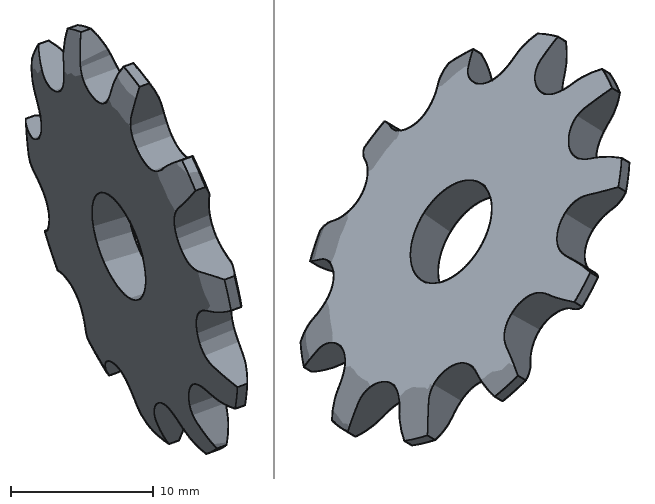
import cadquery as cq
import math

tooth_count = 11
chain_pitch = 8.0
seat_radius = 2.5
flank_radius = 7.8
tip_radius = 15.85
thickness = 2.8
face_radius = 11.95
rounding_radius = 8.0
bore_diameter = 8.0

tooth_angle = 2 * math.pi / tooth_count
half_angle = tooth_angle / 2
pitch_radius = chain_pitch / (2 * math.sin(half_angle))
root_radius = pitch_radius - seat_radius
half_thickness = thickness / 2

seat_end_x = pitch_radius * math.sin(half_angle) - seat_radius
seat_end_y = pitch_radius * math.cos(half_angle)
flank_center_x = seat_end_x - flank_radius

flank_center_distance = math.hypot(flank_center_x, seat_end_y)
flank_center_angle = math.atan2(seat_end_y, flank_center_x)
corner_cosine = (tip_radius**2 + flank_center_distance**2 - flank_radius**2) / (
    2 * tip_radius * flank_center_distance
)
corner_angle = flank_center_angle - math.acos(corner_cosine)
tip_x = tip_radius * math.cos(corner_angle)
tip_y = tip_radius * math.sin(corner_angle)

flank_sweep = math.atan2(tip_y - seat_end_y, tip_x - flank_center_x)
flank_mid_x = flank_center_x + flank_radius * math.cos(flank_sweep / 2)
flank_mid_y = seat_end_y + flank_radius * math.sin(flank_sweep / 2)


def turned(x, y, angle):
    """Rotate a point clockwise about the sprocket axis."""
    c = math.cos(angle)
    s = math.sin(angle)
    return (x * c + y * s, y * c - x * s)


def toothed_plate():
    """Flat plate with the full tooth outline, centred on the XZ plane."""
    outline = cq.Workplane("XZ").moveTo(-tip_x, tip_y)
    for tooth in range(tooth_count):
        angle = tooth * tooth_angle
        next_angle = angle + tooth_angle
        outline = (
            outline.threePointArc(turned(0, tip_radius, angle), turned(tip_x, tip_y, angle))
            .threePointArc(turned(flank_mid_x, flank_mid_y, angle), turned(seat_end_x, seat_end_y, angle))
            .threePointArc(
                turned(0, root_radius, angle + half_angle),
                turned(-seat_end_x, seat_end_y, next_angle),
            )
            .threePointArc(
                turned(-flank_mid_x, flank_mid_y, next_angle),
                turned(-tip_x, tip_y, next_angle),
            )
        )
    return outline.close().extrude(half_thickness, both=True)


def rounded_disc():
    """Disc whose rim is rounded on both sides, tangent to the flat faces."""
    def rounding_half_width(radius):
        fall = rounding_radius - math.sqrt(rounding_radius**2 - (radius - face_radius)**2)
        return half_thickness - fall

    mid_radius = (face_radius + tip_radius) / 2
    mid_half_width = rounding_half_width(mid_radius)
    tip_half_width = rounding_half_width(tip_radius)
    return (
        cq.Workplane("XY")
        .moveTo(0, -half_thickness)
        .lineTo(face_radius, -half_thickness)
        .threePointArc((mid_radius, -mid_half_width), (tip_radius, -tip_half_width))
        .lineTo(tip_radius, tip_half_width)
        .threePointArc((mid_radius, mid_half_width), (face_radius, half_thickness))
        .lineTo(0, half_thickness)
        .close()
        .revolve(360, (0, 0, 0), (0, 1, 0))
    )


bore = cq.Workplane("XZ").circle(bore_diameter / 2).extrude(thickness, both=True)

result = toothed_plate().intersect(rounded_disc()).cut(bore)